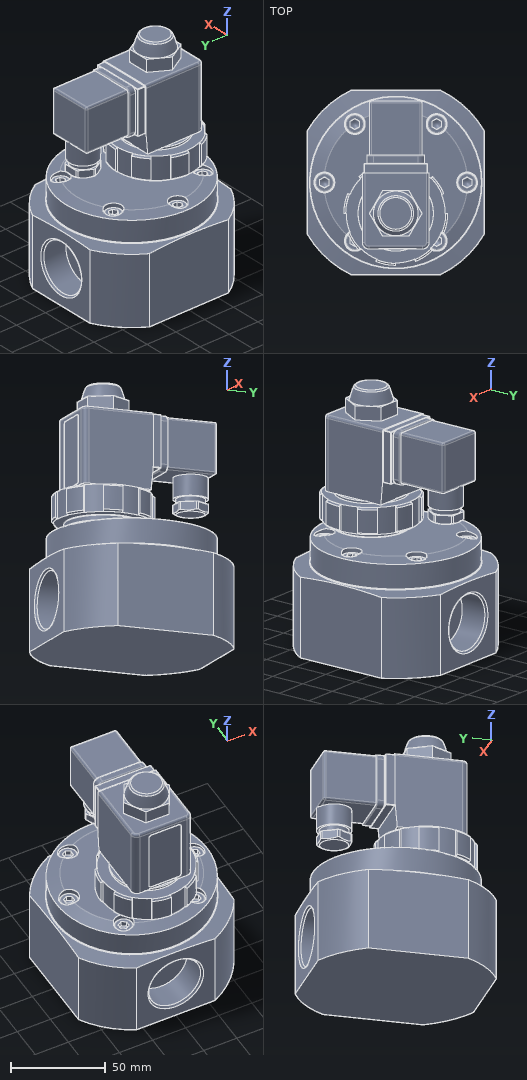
import cadquery as cq
import math

body_width = 94.0
body_length = 98.0
body_radius = 54.4
body_edge_z = 45.3
body_cone_angle = 10.0
seat_radius = 91.5 / 2
seat_top_z = 47.3

port_radius = 31.3 / 2
port_mouth_radius = 33.5 / 2
port_depth = 16.4
port_z = 23.1

cover_radius = 91.0 / 2
cover_edge_z = 61.0
cover_top_z = 63.1
cover_flat_radius = 38.1
screw_circle_radius = 37.8
screw_angle = 55.0
counterbore_radius = 11.0 / 2
counterbore_floor_z = 55.0
screw_head_radius = 5.0
screw_crown_radius = 9.0 / 2
screw_head_top_z = 60.8
socket_flats = 5.0
socket_depth = 2.9
socket_cone_depth = 1.4

coil_axis_y = -16.4
neck_radius = 33.5 / 2
collar_radius = 42.0 / 2
collar_bottom_z = 64.1
collar_chamfer = 0.5
nut_bottom_z = 67.8
nut_top_z = 83.0
nut_root_radius = 26.3
nut_grip_radius = 27.5
nut_chamfer = 1.0
grip_count = 8
grip_angle = 180.0 / grip_count
coil_seat_radius = 20.0

coil_width = 35.4
coil_front_y = -35.3
coil_back_y = 5.0
coil_foot_y = 3.9
coil_bottom_z = 84.4
coil_taper_z = 97.0
coil_top_z = 126.8
coil_corner_radius = 3.4
coil_top_fillet = 1.4
label_width = 19.5
label_height = 37.8
label_centre_x = 1.0
label_centre_z = 104.7
label_corner_radius = 1.7
label_depth = 0.1

cap_flats = 24.1
cap_hex_top_z = 134.8
cap_dome_base_radius = 11.9
cap_dome_middle_radius = 10.9
cap_dome_top_radius = 9.4
cap_crown_radius = 8.4
cap_crown_height = 0.9
cap_top_z = 142.8

plate_width = 33.5
plate_back_y = 10.0
plate_top_z = 126.2
plate_chamfer = 0.3
gasket_size = 30.5
gasket_back_y = 14.5
gasket_corner_radius = 3.4
gasket_edge_fillet = 0.4
plug_width = 28.0
plug_back_y = 43.3
plug_bottom_z = 97.5
plug_top_z = 126.0
plug_fillet = 1.1

gland_radius = 18.8 / 2
gland_bottom_z = 86.0
gland_neck_radius = 16.0 / 2
gland_hex_top_z = 83.0
gland_hex_bottom_z = 77.7
gland_hex_flats = 17.1
gland_hex_turned_radius = 9.5
gland_hex_foot_radius = 7.7
gland_hex_foot_height = 1.0


def cylinder(radius, bottom_z, top_z, y=0.0):
    """Upright cylinder on the X = 0 plane."""
    return cq.Workplane("XY", origin=(0, y, bottom_z)).circle(radius).extrude(top_z - bottom_z)


def block(width, front_y, back_y, bottom_z, top_z):
    """Box centred on X = 0."""
    base = cq.Workplane("XY", origin=(0, (front_y + back_y) / 2, bottom_z))
    return base.rect(width, back_y - front_y).extrude(top_z - bottom_z)


def hexagon(flats, bottom_z, top_z, y=0.0, turn=0.0):
    """Upright hexagonal prism, with a corner toward +X before it is turned."""
    prism = cq.Workplane("XY").polygon(6, flats / math.cos(math.pi / 6)).extrude(top_z - bottom_z)
    return prism.rotate((0, 0, 0), (0, 0, 1), turn).translate((0, y, bottom_z))


def make_body():
    cone_rise = (body_radius - seat_radius) * math.tan(math.radians(body_cone_angle))
    seat_z = body_edge_z + cone_rise
    turned = (
        cq.Workplane("XZ")
        .moveTo(0, 0)
        .lineTo(body_radius, 0)
        .lineTo(body_radius, body_edge_z)
        .lineTo(seat_radius, seat_z)
        .lineTo(seat_radius, seat_top_z)
        .lineTo(0, seat_top_z)
        .close()
        .revolve(360, (0, 0, 0), (0, 1, 0))
    )
    flats = block(body_width, -body_length / 2, body_length / 2, 0, seat_top_z)
    return turned.intersect(flats)


def make_port():
    """Blind bore with a chamfered mouth, entering from the -Y flat."""
    face_y = -body_length / 2
    mouth_chamfer = port_mouth_radius - port_radius
    profile = (
        cq.Workplane("XY", origin=(0, 0, port_z))
        .moveTo(0, face_y)
        .lineTo(port_mouth_radius, face_y)
        .lineTo(port_radius, face_y + mouth_chamfer)
        .lineTo(port_radius, face_y + port_depth)
        .lineTo(0, face_y + port_depth)
        .close()
    )
    return profile.revolve(360, (0, 0, 0), (0, 1, 0))


def make_cover():
    return (
        cq.Workplane("XZ")
        .moveTo(0, seat_top_z)
        .lineTo(cover_radius, seat_top_z)
        .lineTo(cover_radius, cover_edge_z)
        .lineTo(cover_flat_radius, cover_top_z)
        .lineTo(0, cover_top_z)
        .close()
        .revolve(360, (0, 0, 0), (0, 1, 0))
    )


def make_screw():
    """Cap screw head with a hexagon socket that ends in a drill cone."""
    socket_corner_radius = socket_flats / math.sqrt(3)
    socket_floor_z = screw_head_top_z - socket_depth
    cone_tip_z = socket_floor_z - socket_cone_depth
    head = cylinder(screw_head_radius, counterbore_floor_z, screw_head_top_z)
    head = head.faces(">Z").edges().fillet(screw_head_radius - screw_crown_radius)
    drilling = (
        cq.Workplane("XZ")
        .moveTo(0, cone_tip_z)
        .lineTo(socket_corner_radius, socket_floor_z)
        .lineTo(socket_corner_radius, screw_head_top_z)
        .lineTo(0, screw_head_top_z)
        .close()
        .revolve(360, (0, 0, 0), (0, 1, 0))
    )
    socket = hexagon(socket_flats, cone_tip_z, screw_head_top_z, turn=90).intersect(drilling)
    return head.cut(socket)


def add_screws(part):
    counterbore = cylinder(counterbore_radius, counterbore_floor_z, cover_top_z)
    screw = make_screw()
    for side in (0, 180):
        for offset in (-screw_angle, 0, screw_angle):
            angle = math.radians(side + offset)
            place = (screw_circle_radius * math.cos(angle), screw_circle_radius * math.sin(angle), 0)
            part = part.cut(counterbore.translate(place)).union(screw.translate(place))
    return part


def make_grips():
    """Raised, chamfered pads around the nut with equal gaps between them."""
    ring = cylinder(nut_grip_radius, nut_bottom_z, nut_top_z).edges().chamfer(nut_chamfer)
    reach = 2 * nut_grip_radius
    sweep = math.radians(grip_angle)
    sector = (
        cq.Workplane("XY", origin=(0, 0, nut_bottom_z))
        .lineTo(reach, 0)
        .lineTo(reach * math.cos(sweep), -reach * math.sin(sweep))
        .close()
        .extrude(nut_top_z - nut_bottom_z)
    )
    pad = ring.intersect(sector)
    grips = pad
    for index in range(1, grip_count):
        grips = grips.union(pad.rotate((0, 0, 0), (0, 0, 1), index * 360 / grip_count))
    return grips.translate((0, coil_axis_y, 0))


def make_stem():
    neck = cylinder(neck_radius, cover_edge_z, nut_bottom_z, coil_axis_y)
    collar = cylinder(collar_radius, collar_bottom_z, nut_bottom_z, coil_axis_y)
    collar = collar.edges().chamfer(collar_chamfer)
    nut = cylinder(nut_root_radius, nut_bottom_z, nut_top_z, coil_axis_y).union(make_grips())
    coil_seat = cylinder(coil_seat_radius, nut_top_z, coil_bottom_z, coil_axis_y)
    return neck.union(collar).union(nut).union(coil_seat)


def make_coil():
    coil = (
        cq.Workplane("YZ", origin=(-coil_width / 2, 0, 0))
        .moveTo(coil_front_y, coil_bottom_z)
        .lineTo(coil_foot_y, coil_bottom_z)
        .lineTo(coil_back_y, coil_taper_z)
        .lineTo(coil_back_y, coil_top_z)
        .lineTo(coil_front_y, coil_top_z)
        .close()
        .extrude(coil_width)
    )
    coil = coil.faces("<Y").edges("|Z").fillet(coil_corner_radius)
    coil = coil.faces(">Z").edges("not >Y").fillet(coil_top_fillet)
    label = (
        cq.Workplane("XZ", origin=(label_centre_x, coil_front_y + label_depth, label_centre_z))
        .rect(label_width, label_height)
        .extrude(label_depth)
        .edges("|Y")
        .fillet(label_corner_radius)
    )
    return coil.cut(label)


def make_cap():
    shoulder_z = cap_top_z - cap_crown_height
    dome = (
        cq.Workplane("XZ")
        .moveTo(0, cap_hex_top_z)
        .lineTo(cap_dome_base_radius, cap_hex_top_z)
        .threePointArc(
            (cap_dome_middle_radius, (cap_hex_top_z + shoulder_z) / 2), (cap_dome_top_radius, shoulder_z)
        )
        .lineTo(cap_crown_radius, cap_top_z)
        .lineTo(0, cap_top_z)
        .close()
        .revolve(360, (0, 0, 0), (0, 1, 0))
        .translate((0, coil_axis_y, 0))
    )
    return hexagon(cap_flats, coil_top_z, cap_hex_top_z, coil_axis_y).union(dome)


def make_connector():
    plate = block(plate_width, coil_back_y, plate_back_y, coil_taper_z, plate_top_z)
    plate = plate.edges("|Y or >Y").chamfer(plate_chamfer)
    gasket = block(gasket_size, plate_back_y, gasket_back_y, coil_top_z - gasket_size, coil_top_z)
    gasket = gasket.edges("|Y").fillet(gasket_corner_radius)
    gasket = gasket.faces("<Y or >Y").edges().fillet(gasket_edge_fillet)
    plug = block(plug_width, gasket_back_y, plug_back_y, plug_bottom_z, plug_top_z)
    plug = plug.edges("|Y").fillet(plug_fillet).faces(">Y").edges().fillet(plug_fillet)
    return plate.union(gasket).union(plug)


def make_gland():
    gland_y = plug_back_y - gland_radius
    plug_middle_z = (plug_bottom_z + plug_top_z) / 2
    barrel = cylinder(gland_radius, gland_bottom_z, plug_middle_z, gland_y)
    neck = cylinder(gland_neck_radius, gland_hex_top_z, gland_bottom_z, gland_y)
    turned = (
        cq.Workplane("XZ")
        .moveTo(0, gland_hex_bottom_z)
        .lineTo(gland_hex_foot_radius, gland_hex_bottom_z)
        .lineTo(gland_hex_turned_radius, gland_hex_bottom_z + gland_hex_foot_height)
        .lineTo(gland_hex_turned_radius, gland_hex_top_z)
        .lineTo(0, gland_hex_top_z)
        .close()
        .revolve(360, (0, 0, 0), (0, 1, 0))
        .translate((0, gland_y, 0))
    )
    nut = hexagon(gland_hex_flats, gland_hex_bottom_z, gland_hex_top_z, gland_y).intersect(turned)
    return barrel.union(neck).union(nut)


port = make_port()
body = make_body().cut(port).cut(port.mirror("XZ"))
housing = add_screws(body.union(make_cover()))
solenoid = make_stem().union(make_coil()).union(make_cap())
result = housing.union(solenoid).union(make_connector()).union(make_gland())